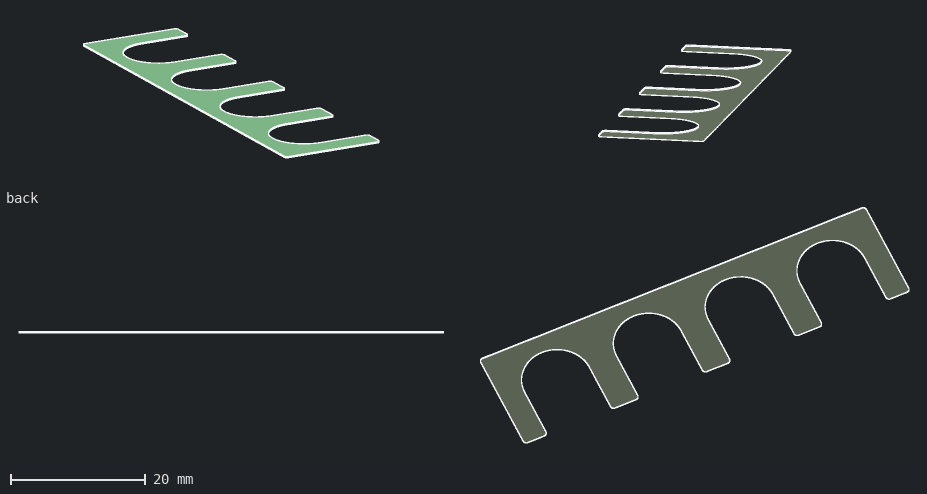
import cadquery as cq

length = 63.0
width = 16.0
thickness = 0.2
corner_radius = 0.5

slot_count = 4
slot_pitch = 15.0
slot_width = 10.5
slot_radius = slot_width / 2
slot_center_y = width / 2
slot_bottom_y = slot_center_y - slot_radius


def slot_cutter(center_x):
    """U-shaped slot running from its round bottom out through the +Y edge."""
    left = center_x - slot_radius
    right = center_x + slot_radius
    return (
        cq.Workplane("XY")
        .moveTo(left, width)
        .lineTo(left, slot_center_y)
        .threePointArc((center_x, slot_bottom_y), (right, slot_center_y))
        .lineTo(right, width)
        .close()
        .extrude(thickness)
    )


comb = cq.Workplane("XY").box(length, width, thickness, centered=(True, False, False))
for index in range(slot_count):
    comb = comb.cut(slot_cutter((index - (slot_count - 1) / 2) * slot_pitch))

tip_corners = comb.faces(">Y").edges("|Z")
base_corners = comb.faces("<Y").edges("|Z")
result = comb.newObject(tip_corners.vals() + base_corners.vals()).fillet(corner_radius)